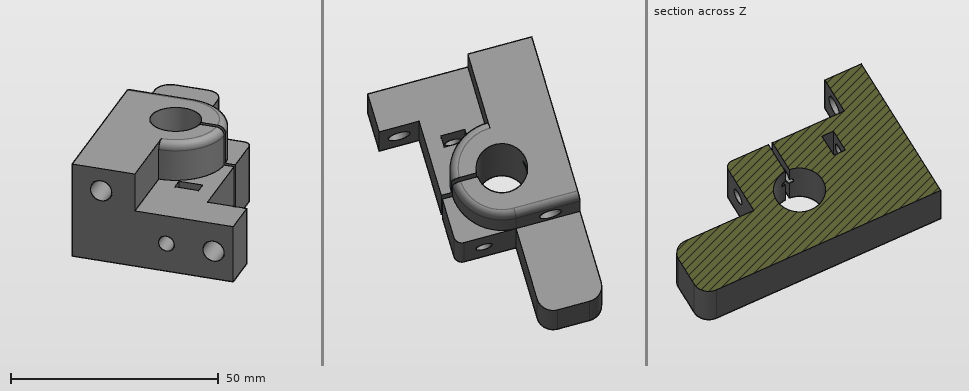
import cadquery as cq

base_height = 15.0
plate_width = 31.0
plate_length = 42.5
plate_corner_radius = 2.0
foot_reach = 41.0
foot_length = 10.0

column_width = 16.0
tongue_end = 65.0
tongue_corner_radius = 4.0

total_height = 25.0
bore_x = column_width
bore_y = 30.0
bore_diameter = 12.4
boss_radius = plate_length - bore_y
boss_edge_radius = 2.0
slit_width = 1.0

bolt_diameter = 5.4
clamp_screw_diameter = 4.0
upper_bolt_x = 7.4
upper_bolt_z = 19.0
lower_hole_z = base_height / 2
clamp_screw_x = 24.0
foot_bolt_inset = 5.0
foot_bolt_x = foot_reach - foot_bolt_inset

nut_slot_width = 6.0
nut_slot_thickness = 3.0
nut_slot_y = 15.0


def block(x_start, y_start, x_end, y_end, height):
    """Box standing on Z = 0 between two plan corners."""
    size = (x_end - x_start, y_end - y_start, height)
    return cq.Workplane("XY").box(*size, centered=False).translate((x_start, y_start, 0))


def make_base():
    plate = block(0, 0, plate_width, plate_length, base_height)
    plate = plate.edges("|Z and >X and >Y").fillet(plate_corner_radius)
    foot = block(0, 0, foot_reach, foot_length, base_height)
    tongue = block(0, 0, column_width, tongue_end, base_height)
    tongue = tongue.edges("|Z and >Y").fillet(tongue_corner_radius)
    return plate.union(foot).union(tongue)


def make_boss():
    """Straight-sided boss with a round end and a rounded top rim."""
    boss = (
        cq.Workplane("XY")
        .moveTo(0, bore_y - boss_radius)
        .lineTo(bore_x, bore_y - boss_radius)
        .threePointArc((bore_x + boss_radius, bore_y), (bore_x, bore_y + boss_radius))
        .lineTo(0, bore_y + boss_radius)
        .close()
        .extrude(total_height)
    )
    return boss.faces(">Z").edges("not <X").fillet(boss_edge_radius)


def hole_along_y(x, z, diameter):
    return cq.Workplane("XZ").center(x, z).circle(diameter / 2).extrude(-tongue_end)


def make_clamp_cuts():
    bore = cq.Workplane("XY").center(bore_x, bore_y).circle(bore_diameter / 2).extrude(total_height)
    slit = block(bore_x, bore_y - slit_width / 2, plate_width, bore_y + slit_width / 2, total_height)
    nut_slot = block(
        clamp_screw_x - nut_slot_width / 2,
        nut_slot_y,
        clamp_screw_x + nut_slot_width / 2,
        nut_slot_y + nut_slot_thickness,
        base_height,
    )
    return bore.union(slit).union(nut_slot)


column = block(0, 0, column_width, bore_y, total_height)

result = make_base().union(column).union(make_boss()).cut(make_clamp_cuts())
result = result.cut(hole_along_y(upper_bolt_x, upper_bolt_z, bolt_diameter))
result = result.cut(hole_along_y(clamp_screw_x, lower_hole_z, clamp_screw_diameter))
result = result.cut(hole_along_y(foot_bolt_x, lower_hole_z, bolt_diameter))